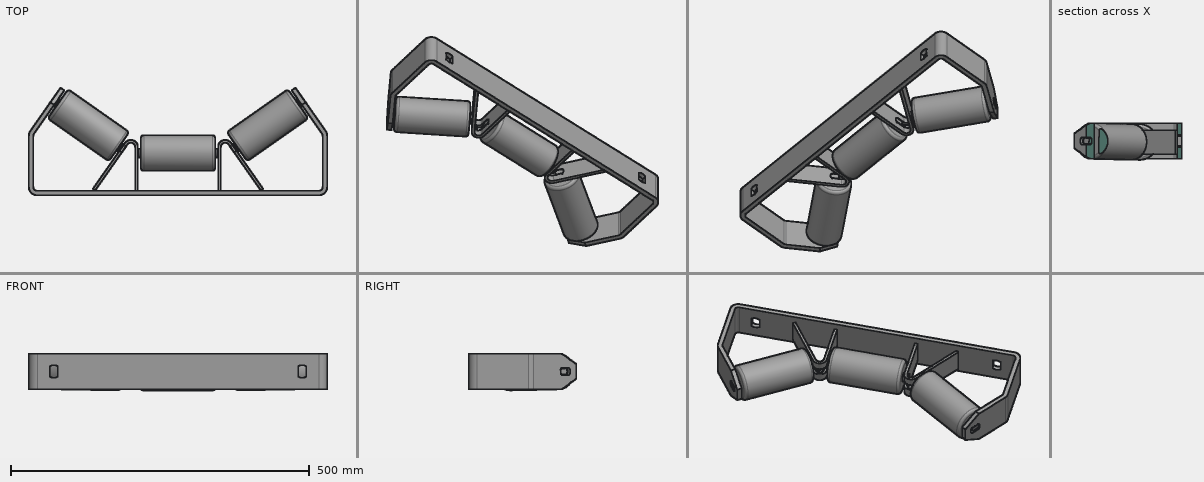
import cadquery as cq
import math


FRAME_LENGTH = 500.0
FRAME_WIDTH = 60.0
FRAME_THICKNESS = 8.0
FRAME_BEND_RADIUS = 14.0
UPRIGHT_TOP = 100.0
TROUGH_ANGLE = 35.0
ARM_LENGTH = 88.5
ARM_TIP_WIDTH = 25.0
ARM_TAPER_LENGTH = 30.0
BASE_SLOT_WIDTH = 14.0
BASE_SLOT_LENGTH = 21.5
BASE_SLOT_X = 208.0

ROLLER_DIAMETER = 60.0
ROLLER_LENGTH = 125.0
ROLLER_EDGE_RADIUS = 5.0
AXLE_DIAMETER = 15.0
AXLE_LENGTH = 144.0
AXLE_NECK = 3.0
AXLE_FLAT_HEIGHT = 10.0
CENTRE_ROLLER_Y = 71.0
SIDE_ROLLER_X = 150.0
SIDE_ROLLER_Y = 117.5
ROLLER_DROP = 2.0

BRACKET_THICKNESS = 5.0
BRACKET_WIDTH = 40.0
BRACKET_BEND_RADIUS = 12.0
BRACKET_GAP = 4.5

AXLE_SLOT_WIDTH = 12.0
ARM_SLOT_TRAVEL = 5.0
BRACKET_SLOT_TRAVEL = 15.0

SIN = math.sin(math.radians(TROUGH_ANGLE))
COS = math.cos(math.radians(TROUGH_ANGLE))
BRACKET_FACE = ROLLER_LENGTH / 2 + BRACKET_GAP
SIDE_ROLLER_LEAN = math.degrees(math.asin(ROLLER_DROP / AXLE_LENGTH))


def along_arm(point, distance):
    """Point moved up the left arm's direction."""
    return (point[0] + distance * SIN, point[1] + distance * COS)


def centre_axis_plane():
    """Plane at the centre roller's centre: local X up the trough, local Z along the axle to the left."""
    return cq.Plane(origin=(0, CENTRE_ROLLER_Y, -ROLLER_DROP), xDir=(0, 1, 0), normal=(-1, 0, 0))


def left_axis_plane():
    """Plane at the left roller's centre: local X up the arm, local Z along the leaning axle."""
    level = cq.Plane(
        origin=(-SIDE_ROLLER_X, SIDE_ROLLER_Y, -ROLLER_DROP / 2),
        xDir=(SIN, COS, 0),
        normal=(COS, -SIN, 0),
    )
    return level.rotated((SIDE_ROLLER_LEAN, 0, 0))


def mirrored(body):
    """Opposite-hand copy on the right side of the frame."""
    return body.mirror("YZ")


def axle_slot(plane, travel, start, end):
    """Cutter along local Z for a flat-sided slot that lets an axle slide up local X by the travel."""
    depth = end - start
    outline = cq.Workplane(plane).workplane(offset=start).center(travel / 2, 0)
    round_ends = outline.slot2D(travel + AXLE_DIAMETER, AXLE_DIAMETER).extrude(depth)
    flat_sides = outline.rect(travel + AXLE_DIAMETER, AXLE_SLOT_WIDTH).extrude(depth)
    return round_ends.intersect(flat_sides)


def half_frame():
    """Left half of the bent strip: base, corner bend, upright, upper bend and arm."""
    left = -FRAME_LENGTH / 2
    outer = FRAME_BEND_RADIUS
    inner = FRAME_BEND_RADIUS - FRAME_THICKNESS
    bend_x = left + FRAME_BEND_RADIUS
    diagonal = math.sqrt(0.5)
    half_sin = math.sin(math.radians(TROUGH_ANGLE / 2))
    half_cos = math.cos(math.radians(TROUGH_ANGLE / 2))

    def lower(radius, right, up):
        return (bend_x - radius * right, outer - radius * up)

    def upper(radius, cosine, sine):
        return (bend_x - radius * cosine, UPRIGHT_TOP + radius * sine)

    return (
        cq.Workplane("XY").workplane(offset=-FRAME_WIDTH / 2)
        .moveTo(0, 0)
        .lineTo(*lower(outer, 0, 1))
        .threePointArc(lower(outer, diagonal, diagonal), lower(outer, 1, 0))
        .lineTo(*upper(outer, 1, 0))
        .threePointArc(upper(outer, half_cos, half_sin), upper(outer, COS, SIN))
        .lineTo(*along_arm(upper(outer, COS, SIN), ARM_LENGTH))
        .lineTo(*along_arm(upper(inner, COS, SIN), ARM_LENGTH))
        .lineTo(*upper(inner, COS, SIN))
        .threePointArc(upper(inner, half_cos, half_sin), upper(inner, 1, 0))
        .lineTo(*lower(inner, 1, 0))
        .threePointArc(lower(inner, diagonal, diagonal), lower(inner, 0, 1))
        .lineTo(0, FRAME_THICKNESS)
        .close()
        .extrude(FRAME_WIDTH)
    )


def arm_taper():
    """Cutters for the two sloping corners at the left arm's tip."""
    arm_start = (
        -FRAME_LENGTH / 2 + FRAME_BEND_RADIUS * (1 - COS),
        UPRIGHT_TOP + FRAME_BEND_RADIUS * SIN,
    )
    plane = cq.Plane(origin=(*along_arm(arm_start, ARM_LENGTH), 0), xDir=(SIN, COS, 0), normal=(COS, -SIN, 0))
    corner = (
        cq.Workplane(plane)
        .polyline([
            (0, ARM_TIP_WIDTH / 2),
            (0, FRAME_WIDTH / 2),
            (-ARM_TAPER_LENGTH, FRAME_WIDTH / 2),
        ])
        .close()
        .extrude(FRAME_THICKNESS)
    )
    return corner.union(corner.mirror("XY"))


def base_slot():
    """Cutter for a mounting slot in the base: a round hole narrowed by two flat sides."""
    outline = cq.Workplane("XZ").center(-BASE_SLOT_X, 0)
    hole = outline.circle(BASE_SLOT_LENGTH / 2).extrude(-FRAME_THICKNESS)
    flat_sides = outline.rect(BASE_SLOT_WIDTH, BASE_SLOT_LENGTH).extrude(-FRAME_THICKNESS)
    return hole.intersect(flat_sides)


def make_frame():
    arm_slot = axle_slot(left_axis_plane(), ARM_SLOT_TRAVEL, -AXLE_LENGTH, -ROLLER_LENGTH / 2)
    left_half = half_frame().cut(arm_taper()).cut(base_slot()).cut(arm_slot)
    return left_half.union(mirrored(left_half))


def left_bracket_strip():
    """Hairpin strip: an upright leg by the centre roller and a sloping leg by the left roller."""
    outer = BRACKET_BEND_RADIUS
    inner = BRACKET_BEND_RADIUS - BRACKET_THICKNESS
    slope_face = -SIDE_ROLLER_X * COS - SIDE_ROLLER_Y * SIN + BRACKET_FACE
    bend_x = -BRACKET_FACE - outer
    bend_y = (bend_x * COS - slope_face - outer) / SIN
    half_angle = math.radians(90 - TROUGH_ANGLE) / 2
    crown = (math.sin(half_angle), math.cos(half_angle))

    def bend(radius, right, up):
        return (bend_x + radius * right, bend_y + radius * up)

    slope_length = (bend(inner, -COS, SIN)[1] - FRAME_THICKNESS) / COS
    return (
        cq.Workplane("XY").workplane(offset=-ROLLER_DROP - BRACKET_WIDTH / 2)
        .moveTo(-BRACKET_FACE, FRAME_THICKNESS)
        .lineTo(*bend(outer, 1, 0))
        .threePointArc(bend(outer, *crown), bend(outer, -COS, SIN))
        .lineTo(*along_arm(bend(outer, -COS, SIN), -slope_length))
        .lineTo(*along_arm(bend(inner, -COS, SIN), -slope_length))
        .lineTo(*bend(inner, -COS, SIN))
        .threePointArc(bend(inner, *crown), bend(inner, 1, 0))
        .lineTo(-BRACKET_FACE - BRACKET_THICKNESS, FRAME_THICKNESS)
        .close()
        .extrude(BRACKET_WIDTH)
    )


def make_left_bracket():
    """Strip with a slot in each leg; the two slots run together around the bend."""
    bracket = left_bracket_strip()
    slot_start = ROLLER_LENGTH / 2
    slot_end = BRACKET_FACE + BRACKET_BEND_RADIUS
    for plane in (centre_axis_plane(), left_axis_plane()):
        bracket = bracket.cut(axle_slot(plane, BRACKET_SLOT_TRAVEL, slot_start, slot_end))
    return bracket


def make_roller(plane):
    """Roller and its axle, centred on the plane and lying along its local Z; flats face local Y."""
    drum = (
        cq.Workplane("XY")
        .workplane(offset=-ROLLER_LENGTH / 2)
        .circle(ROLLER_DIAMETER / 2)
        .extrude(ROLLER_LENGTH)
        .faces("|Z").edges().fillet(ROLLER_EDGE_RADIUS)
    )
    neck = cq.Workplane("XY").circle(AXLE_DIAMETER / 2).extrude(ROLLER_LENGTH / 2 + AXLE_NECK, both=True)
    flats = (
        cq.Workplane("XY").circle(AXLE_DIAMETER / 2).extrude(AXLE_LENGTH / 2, both=True)
        .intersect(cq.Workplane("XY").box(AXLE_DIAMETER, AXLE_FLAT_HEIGHT, AXLE_LENGTH))
    )
    roller = drum.union(neck).union(flats)
    return cq.Workplane(roller.val().moved(plane.location))


frame = make_frame()
left_bracket = make_left_bracket()
brackets = [left_bracket, mirrored(left_bracket)]
left_roller = make_roller(left_axis_plane())
rollers = [left_roller, mirrored(left_roller), make_roller(centre_axis_plane())]

result = cq.Compound.makeCompound([body.val() for body in [frame, *brackets, *rollers]])